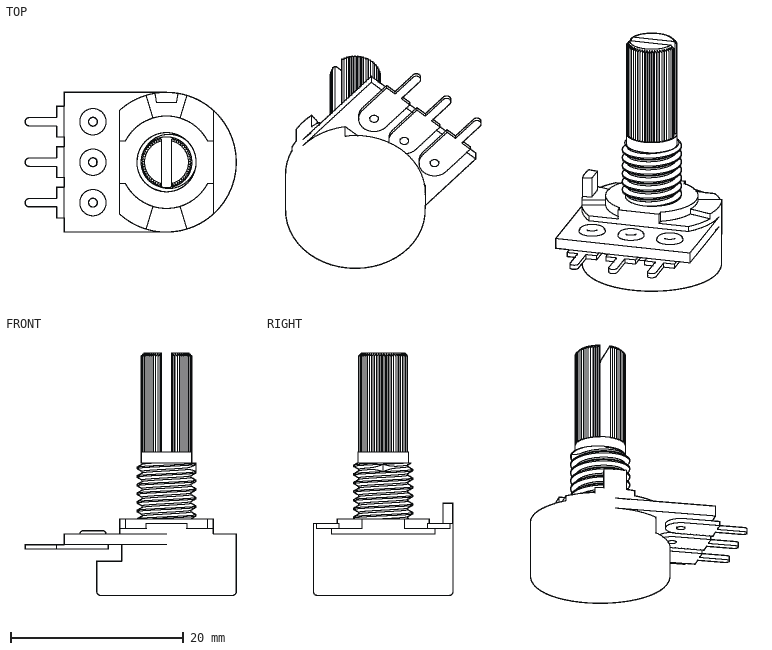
import cadquery as cq
import math


LEDGE_TOP = 4.0
BOARD_BOTTOM = 5.92
BOARD_TOP = 7.16
PLATE_TOP = 7.78
PAD_TOP = 8.4
COLLAR_TOP = 8.92
TAB_TOP = 10.75
BUSHING_TOP = 15.38
SPLINE_BOTTOM = 16.68
SHAFT_TOP = 28.2

CAN_RADIUS = 16.25 / 2
CAN_BOTTOM_FILLET = 0.5
LEDGE_WALL_X = -5.22
PLATE_WIDTH = 10.9
PAD_HALF_ANGLE = 17.0
TAB_HALF_ANGLE = 9.5
TAB_INNER_Y = 6.92

COLLAR_RADIUS = 5.37
COLLAR_BAR_WIDTH = 4.96

THREAD_MAJOR_RADIUS = 6.88 / 2
THREAD_ROOT_RADIUS = 5.74 / 2
THREAD_PITCH = 1.0
THREAD_CREST_WIDTH = 0.15
THREAD_ROOT_WIDTH = 0.2
THREAD_START = 7.83
THREAD_CLEARANCE = 0.2

SHAFT_RADIUS = 5.9 / 2
SPLINE_ROOT_RADIUS = 2.68
SPLINE_COUNT = 57
SHAFT_CHAMFER = 0.4
SLOT_WIDTH = 1.2

BOARD_END_X = -11.9
TERMINAL_PITCH = 4.7
TERMINAL_COUNT = 3
TERMINAL_BOTTOM = 5.4
TERMINAL_TIP_X = CAN_RADIUS - 24.55
TERMINAL_SHOULDER_X = -12.77
TERMINAL_PIN_WIDTH = 1.0
TERMINAL_HEAD_WIDTH = 3.6
RIVET_X = -8.54
RIVET_RADIUS = 1.53
RIVET_TOP = 7.54
RIVET_OUTER_ROUND = 0.37
RIVET_INNER_ROUND = 0.42
RIVET_HOLE_DIAMETER = 1.0


def cylinder(radius, bottom, top):
    return cq.Workplane("XY").workplane(offset=bottom).circle(radius).extrude(top - bottom)


def block(x_min, x_max, y_min, y_max, bottom, top):
    size = (x_max - x_min, y_max - y_min, top - bottom)
    return cq.Workplane("XY").box(*size, centered=False).translate((x_min, y_min, bottom))


def wedge(center_angle, half_angle, bottom, top):
    """Triangular prism with its apex on the shaft axis, reaching beyond the can."""
    reach = 2 * CAN_RADIUS
    corners = [(0, 0)]
    for angle in (center_angle - half_angle, center_angle + half_angle):
        turn = math.radians(angle)
        corners.append((reach * math.cos(turn), reach * math.sin(turn)))
    return cq.Workplane("XY").workplane(offset=bottom).polyline(corners).close().extrude(top - bottom)


def make_can():
    can = cylinder(CAN_RADIUS, 0, BOARD_TOP).faces("<Z").edges().fillet(CAN_BOTTOM_FILLET)
    ledge_space = block(-2 * CAN_RADIUS, LEDGE_WALL_X, -CAN_RADIUS, CAN_RADIUS, LEDGE_TOP, BOARD_TOP)
    return can.cut(ledge_space)


def make_cover():
    """Flat-sided plate with two raised pads and the locating tab on the +Y pad."""
    half_width = PLATE_WIDTH / 2
    slab = block(-half_width, half_width, -CAN_RADIUS, CAN_RADIUS, BOARD_BOTTOM, PLATE_TOP)
    cover = cylinder(CAN_RADIUS, BOARD_BOTTOM, PLATE_TOP).intersect(slab)
    for center_angle in (90, -90):
        pad = wedge(center_angle, PAD_HALF_ANGLE, BOARD_TOP, PAD_TOP)
        cover = cover.union(pad.intersect(cylinder(CAN_RADIUS, BOARD_TOP, PAD_TOP)))
    tab_room = block(-CAN_RADIUS, CAN_RADIUS, TAB_INNER_Y, CAN_RADIUS, BOARD_TOP, TAB_TOP)
    tab = cylinder(CAN_RADIUS, BOARD_TOP, TAB_TOP).intersect(tab_room)
    return cover.union(tab.intersect(wedge(90, TAB_HALF_ANGLE, BOARD_TOP, TAB_TOP)))


def make_collar():
    half_length = PLATE_WIDTH / 2
    half_width = COLLAR_BAR_WIDTH / 2
    bar = block(-half_length, half_length, -half_width, half_width, BOARD_TOP, COLLAR_TOP)
    return cylinder(COLLAR_RADIUS, BOARD_TOP, COLLAR_TOP).union(bar)


def make_bushing():
    """Cylinder with a right-hand helical groove that runs out along tangents near +X at the top."""
    depth = THREAD_MAJOR_RADIUS - THREAD_ROOT_RADIUS
    half_root = THREAD_ROOT_WIDTH / 2
    half_mouth = (THREAD_PITCH - THREAD_CREST_WIDTH) / 2
    flank_slope = (half_mouth - half_root) / depth
    half_outer = half_mouth + flank_slope * THREAD_CLEARANCE
    outer_radius = THREAD_MAJOR_RADIUS + THREAD_CLEARANCE

    turns = math.ceil((BUSHING_TOP - THREAD_START) / THREAD_PITCH)
    thread_end = THREAD_START + turns * THREAD_PITCH
    helix = cq.Wire.makeHelix(THREAD_PITCH, thread_end - THREAD_START, THREAD_ROOT_RADIUS)
    groove = (
        cq.Workplane("XZ")
        .moveTo(THREAD_ROOT_RADIUS, -half_root)
        .lineTo(outer_radius, -half_outer)
        .lineTo(outer_radius, half_outer)
        .lineTo(THREAD_ROOT_RADIUS, half_root)
        .close()
        .sweep(cq.Workplane(obj=helix), isFrenet=True)
        .translate((0, 0, THREAD_START))
    )
    blank = cylinder(THREAD_MAJOR_RADIUS, THREAD_START - THREAD_PITCH, thread_end + THREAD_PITCH)
    bushing = blank.cut(groove).intersect(cylinder(CAN_RADIUS, PLATE_TOP, BUSHING_TOP))

    stop_bottom = BUSHING_TOP - THREAD_PITCH
    tangent_angle = math.acos(THREAD_ROOT_RADIUS / THREAD_MAJOR_RADIUS)
    tangent_x = THREAD_ROOT_RADIUS * math.cos(tangent_angle)
    tangent_y = THREAD_ROOT_RADIUS * math.sin(tangent_angle)
    stop = (
        cq.Workplane("XY")
        .workplane(offset=stop_bottom)
        .polyline([(0, 0), (tangent_x, -tangent_y), (THREAD_MAJOR_RADIUS, 0), (tangent_x, tangent_y)])
        .close()
        .extrude(THREAD_PITCH)
    )
    return bushing.union(stop)


def make_shaft():
    """Plain neck and splined, chamfered end with a slot along Y; one spline root faces +Y."""
    half_tooth = math.pi / SPLINE_COUNT
    teeth = []
    for tooth in range(SPLINE_COUNT):
        root = math.pi / 2 + 2 * half_tooth * tooth
        crest = root + half_tooth
        teeth.append((SPLINE_ROOT_RADIUS * math.cos(root), SPLINE_ROOT_RADIUS * math.sin(root)))
        teeth.append((SHAFT_RADIUS * math.cos(crest), SHAFT_RADIUS * math.sin(crest)))
    spline_length = SHAFT_TOP - SPLINE_BOTTOM
    spline = cq.Workplane("XY").workplane(offset=SPLINE_BOTTOM).polyline(teeth).close().extrude(spline_length)
    envelope = cylinder(SHAFT_RADIUS, SPLINE_BOTTOM, SHAFT_TOP).faces(">Z").chamfer(SHAFT_CHAMFER)
    half_slot = SLOT_WIDTH / 2
    slot = block(-half_slot, half_slot, -CAN_RADIUS, CAN_RADIUS, SPLINE_BOTTOM, SHAFT_TOP)
    spline = spline.intersect(envelope).cut(slot)
    return cylinder(SHAFT_RADIUS, BUSHING_TOP, SPLINE_BOTTOM).union(spline)


def make_terminal():
    """Flat terminal at Y = 0: rounded pin, wide shoulder and rounded head under the rivet."""
    pin_half = TERMINAL_PIN_WIDTH / 2
    head_half = TERMINAL_HEAD_WIDTH / 2
    tip_center_x = TERMINAL_TIP_X + pin_half
    return (
        cq.Workplane("XY")
        .workplane(offset=TERMINAL_BOTTOM)
        .moveTo(tip_center_x, pin_half)
        .threePointArc((TERMINAL_TIP_X, 0), (tip_center_x, -pin_half))
        .lineTo(TERMINAL_SHOULDER_X, -pin_half)
        .lineTo(TERMINAL_SHOULDER_X, -head_half)
        .lineTo(RIVET_X, -head_half)
        .threePointArc((RIVET_X + head_half, 0), (RIVET_X, head_half))
        .lineTo(TERMINAL_SHOULDER_X, head_half)
        .lineTo(TERMINAL_SHOULDER_X, pin_half)
        .close()
        .extrude(BOARD_BOTTOM - TERMINAL_BOTTOM)
    )


def make_terminal_board():
    """Board with a rivet head, terminal and through hole at each terminal position."""
    board = block(BOARD_END_X, 0, -CAN_RADIUS, CAN_RADIUS, BOARD_BOTTOM, BOARD_TOP)
    hole_radius = RIVET_HOLE_DIAMETER / 2
    rivet = cylinder(RIVET_RADIUS, BOARD_TOP, RIVET_TOP)
    rivet = rivet.faces(">Z").edges().fillet(RIVET_OUTER_ROUND)
    hole = cylinder(hole_radius, TERMINAL_BOTTOM, RIVET_TOP)
    for index in range(TERMINAL_COUNT):
        y = (index - (TERMINAL_COUNT - 1) / 2) * TERMINAL_PITCH
        board = board.union(make_terminal().translate((0, y, 0)))
        board = board.union(rivet.translate((RIVET_X, y, 0))).cut(hole.translate((RIVET_X, y, 0)))
    rim_height = RIVET_TOP - RIVET_INNER_ROUND / 2
    rims = cq.selectors.BoxSelector(
        (RIVET_X - 2 * hole_radius, -CAN_RADIUS, rim_height),
        (RIVET_X + 2 * hole_radius, CAN_RADIUS, RIVET_TOP + RIVET_INNER_ROUND),
    )
    return board.edges(rims).fillet(RIVET_INNER_ROUND)


result = (
    make_can()
    .union(make_cover())
    .union(make_collar())
    .union(make_terminal_board())
    .union(make_bushing())
    .union(make_shaft())
)